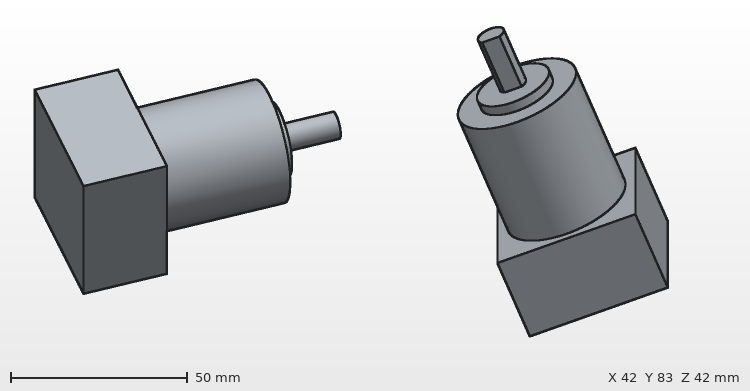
import cadquery as cq

total_length = 83.0
motor_side = 42.0
motor_length = 25.0
gearbox_diameter = 36.0
gearbox_length = 38.0
pilot_diameter = 22.0
pilot_length = 3.0
shaft_diameter = 8.0
flat_offset = 3.0

gearbox_start = motor_length
pilot_start = gearbox_start + gearbox_length
shaft_start = pilot_start + pilot_length
shaft_length = total_length - shaft_start


def cylinder_along_y(diameter, start, length):
    """Cylinder on the Y axis, growing toward +Y from the start station."""
    axis_plane = cq.Workplane(cq.Plane(origin=(0, start, 0), xDir=(1, 0, 0), normal=(0, 1, 0)))
    return axis_plane.circle(diameter / 2).extrude(length)


def d_shaft():
    """Output shaft with a flat along its underside."""
    shaft = cylinder_along_y(shaft_diameter, shaft_start, shaft_length)
    keep_height = shaft_diameter / 2 + flat_offset
    keep_region = (
        cq.Workplane("XY")
        .box(shaft_diameter, shaft_length, keep_height, centered=(True, False, False))
        .translate((0, shaft_start, -flat_offset))
    )
    return shaft.intersect(keep_region)


motor = cq.Workplane("XY").box(motor_side, motor_length, motor_side, centered=(True, False, True))
gearbox = cylinder_along_y(gearbox_diameter, gearbox_start, gearbox_length)
pilot = cylinder_along_y(pilot_diameter, pilot_start, pilot_length)

result = motor.union(gearbox).union(pilot).union(d_shaft())